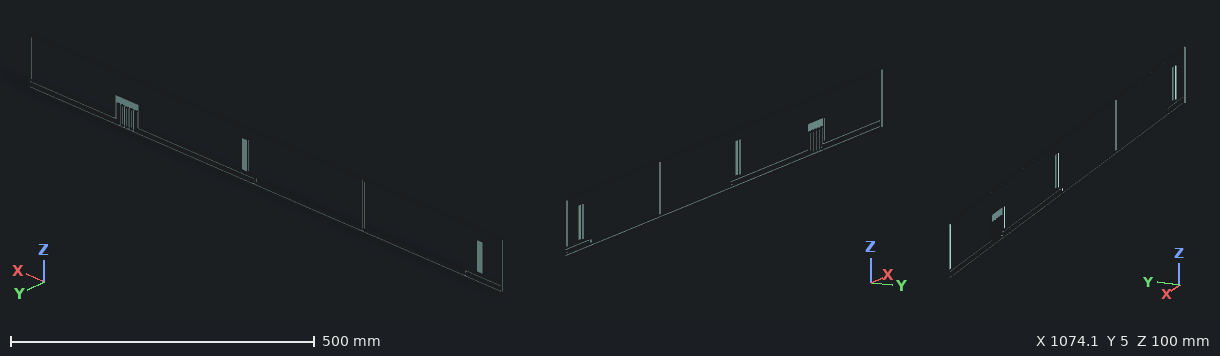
import cadquery as cq

length = 1074.14
height = 100.0
depth = 5.0
wall = 3.0
floor = 5.0
divider_x = 315.0
divider_width = 5.0

channel_height = 5.0
cover = 5.0
channel_end_wall = 5.0
channel_top = floor + channel_height
cover_top = channel_top + cover
left_cover_end = 85.0
right_cover_start = 560.0

slot_count = 5
slot_width = 4.0
tooth = 6.0
slot_pitch = slot_width + tooth
comb_x = 824.0
comb_width = slot_count * slot_pitch + tooth
comb_top = 58.0
slot_top = 42.0

panel_width = 15.5
panel_height = 62.0
panel_gap = 3.0
panel_z = cover_top + panel_gap
panel_starts = (43.0, 577.0)


def upright_block(x_start, x_end, z_start, z_end):
    """A block through the full depth, given by its extent in X and Z."""
    block = cq.Workplane("XY").box(x_end - x_start, depth, z_end - z_start, centered=False)
    return block.translate((x_start, 0, z_start))


def make_frame():
    inner_end = length - wall
    frame = upright_block(0, length, 0, height)
    frame = frame.cut(upright_block(wall, inner_end, floor, height - wall))
    frame = frame.union(upright_block(divider_x, divider_x + divider_width, floor, height - wall))

    frame = frame.union(upright_block(wall, left_cover_end, floor, cover_top))
    frame = frame.union(upright_block(right_cover_start, inner_end, floor, cover_top))
    frame = frame.union(upright_block(comb_x, comb_x + comb_width, floor, comb_top))

    first_slot_x = comb_x + tooth
    last_slot_end = comb_x + comb_width - tooth
    channels = (
        (wall, left_cover_end - channel_end_wall),
        (right_cover_start + channel_end_wall, first_slot_x),
        (last_slot_end, inner_end),
    )
    for x_start, x_end in channels:
        frame = frame.cut(upright_block(x_start, x_end, floor, channel_top))

    for index in range(slot_count):
        slot_x = first_slot_x + index * slot_pitch
        frame = frame.cut(upright_block(slot_x, slot_x + slot_width, floor, slot_top))
    return frame


def make_panel(x_start):
    return upright_block(x_start, x_start + panel_width, panel_z, panel_z + panel_height)


frame = make_frame()
panels = [make_panel(x_start) for x_start in panel_starts]

result = cq.Compound.makeCompound([frame.val(), *[panel.val() for panel in panels]])